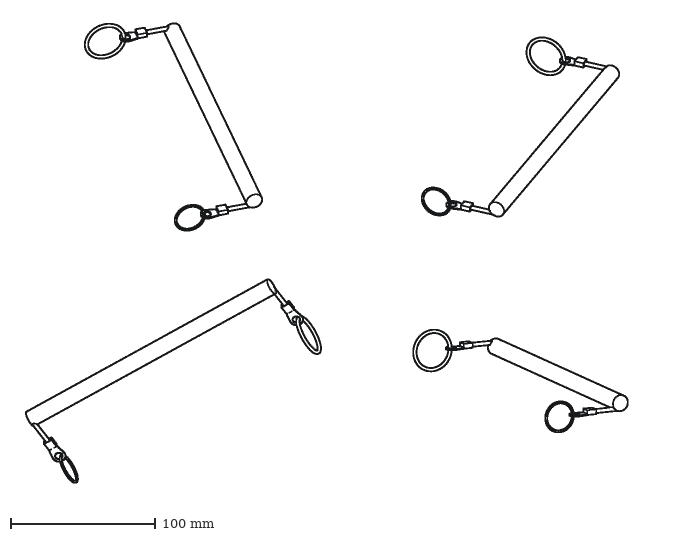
import cadquery as cq
import math

bar_diameter = 11.5
bar_length = 200.0

wire_diameter = 3.0
wire_x = (bar_length - wire_diameter) / 2
left_wire_z = 3.3
right_wire_z = -4.15

sleeve_start_y = -19.5
sleeve_length = 6.8
sleeve_width = 6.2
sleeve_height = 3.5
sleeve_end_y = sleeve_start_y - sleeve_length
lug_thickness = 0.8
lug_neck_width = 6.8
lug_radius = 4.6
lug_center_y = -33.6
eyelet_diameter = 5.2
eyelet_end_y = lug_center_y - eyelet_diameter / 2

large_ring_diameter = 29.6
large_ring_wire = 2.5
large_ring_far_y = -63.73
large_ring_z = 2.15
small_ring_diameter = 22.0
small_ring_wire = 1.5
small_ring_bite = 0.4
small_ring_far_y = eyelet_end_y + small_ring_wire - small_ring_bite - small_ring_diameter
small_ring_z = -5.55


def make_bar():
    return cq.Workplane("YZ").circle(bar_diameter / 2).extrude(bar_length / 2, both=True)


def make_wire(x, z):
    """Round wire from the mid-plane of the bar to the sleeve."""
    return cq.Workplane("XZ", origin=(x, 0, z)).circle(wire_diameter / 2).extrude(-sleeve_start_y)


def make_sleeve(x, base_z):
    return (
        cq.Workplane("XY", origin=(x, 0, base_z))
        .center(0, sleeve_start_y - sleeve_length / 2)
        .rect(sleeve_width, sleeve_length)
        .extrude(sleeve_height)
    )


def make_lug(x, base_z):
    """Flat lug whose straight flanks run tangent into a round eye."""
    half_neck = lug_neck_width / 2
    neck_distance = sleeve_end_y - lug_center_y
    corner_distance = math.hypot(half_neck, neck_distance)
    tangent_angle = math.atan2(neck_distance, half_neck) - math.acos(lug_radius / corner_distance)
    tangent_x = lug_radius * math.cos(tangent_angle)
    tangent_y = lug_center_y + lug_radius * math.sin(tangent_angle)
    return (
        cq.Workplane("XY", origin=(x, 0, base_z))
        .moveTo(-half_neck, sleeve_end_y)
        .lineTo(half_neck, sleeve_end_y)
        .lineTo(tangent_x, tangent_y)
        .threePointArc((0, lug_center_y - lug_radius), (-tangent_x, tangent_y))
        .close()
        .moveTo(0, lug_center_y)
        .circle(eyelet_diameter / 2)
        .extrude(lug_thickness)
    )


def make_ring(x, far_y, z, outer_diameter, ring_wire):
    """Round-section ring whose outermost point towards -Y is at far_y."""
    center_y = far_y + outer_diameter / 2
    mean_radius = (outer_diameter - ring_wire) / 2
    torus = cq.Solid.makeTorus(mean_radius, ring_wire / 2, cq.Vector(x, center_y, z), cq.Vector(1, 0, 0))
    return cq.Workplane(obj=torus)


def make_tether(x, wire_z):
    """Wire, sleeve and lug, all resting on the same lower plane."""
    base_z = wire_z - wire_diameter / 2
    return make_wire(x, wire_z).union(make_sleeve(x, base_z)).union(make_lug(x, base_z))


left_ring = make_ring(-wire_x, large_ring_far_y, large_ring_z, large_ring_diameter, large_ring_wire)
right_ring = make_ring(wire_x, small_ring_far_y, small_ring_z, small_ring_diameter, small_ring_wire)

result = (
    make_bar()
    .union(make_tether(-wire_x, left_wire_z))
    .union(make_tether(wire_x, right_wire_z))
    .union(left_ring)
    .union(right_ring)
)